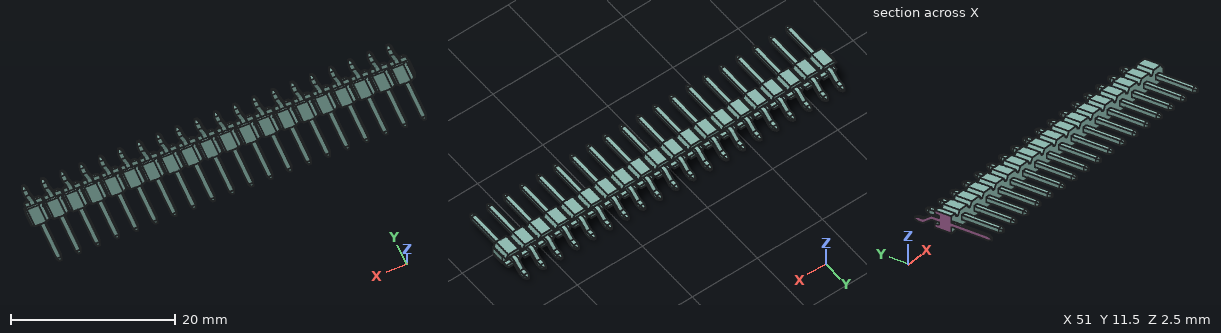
import cadquery as cq

pin_count = 20
pitch = 2.55
body_length = pin_count * pitch
body_depth = 2.5
body_height = 2.5

neck_height = 1.25
notch_width = 0.95
notch_floor_width = 0.2

channel_height = neck_height
channel_depth = 0.6

pin_size = 0.65
front_reach = 6.0
rear_reach = 3.0
tip_length = 0.5
tip_size = 0.3
bend_start = 0.45
bend_run = 1.25
bend_inner_radius = 0.3
bend_outer_radius = bend_inner_radius + pin_size

pin_length = front_reach + body_depth + rear_reach
front_tip_y = -pin_length / 2
rear_tip_y = pin_length / 2
body_front_y = front_tip_y + front_reach
body_back_y = body_front_y + body_depth

tail_z = (pin_size - body_height) / 2


def make_cell():
    """One pitch of the body, narrowed at its four long edges by the notches."""
    half_height = body_height / 2
    half_neck = neck_height / 2
    half_pitch = pitch / 2
    flat_end = (pitch - notch_width) / 2
    shoulder = (pitch - notch_floor_width) / 2
    right_side = [
        (flat_end, -half_height),
        (shoulder, -half_neck),
        (half_pitch, -half_neck),
        (half_pitch, half_neck),
        (shoulder, half_neck),
        (flat_end, half_height),
    ]
    left_side = [(-x, z) for x, z in reversed(right_side)]
    cell = (
        cq.Workplane("XZ", origin=(0, body_back_y, 0))
        .polyline(right_side + left_side)
        .close()
        .extrude(body_depth)
    )
    channel = cq.Workplane("XY").box(pitch, channel_depth, channel_height)
    return cell.cut(channel.translate((0, body_back_y - channel_depth / 2, 0)))


def make_tip(shank_end_y, tip_y, z):
    """Tapered pin end between the full section and the small end face."""
    direction = 1 if tip_y > shank_end_y else -1
    plane = cq.Plane(origin=(0, shank_end_y, z), xDir=(1, 0, 0), normal=(0, direction, 0))
    return (
        cq.Workplane(plane)
        .rect(pin_size, pin_size)
        .workplane(offset=tip_length)
        .rect(tip_size, tip_size)
        .loft(ruled=True)
    )


def round_bend(shank, y, z, radius):
    """Fillet the crosswise edge of the shank that lies at (y, z)."""
    bend_edge = cq.selectors.NearestToPointSelector((0, y, z))
    return shank.edges("|X").edges(bend_edge).fillet(radius)


def make_pin():
    """Straight shank, sloping step behind the body, and level tail."""
    front_shank_y = front_tip_y + tip_length
    rear_shank_y = rear_tip_y - tip_length
    bend_top_y = body_back_y + bend_start
    bend_bottom_y = bend_top_y + bend_run
    half_pin = pin_size / 2
    shank = (
        cq.Workplane("YZ")
        .polyline([
            (front_shank_y, half_pin),
            (bend_top_y, half_pin),
            (bend_bottom_y, tail_z + half_pin),
            (rear_shank_y, tail_z + half_pin),
            (rear_shank_y, tail_z - half_pin),
            (bend_bottom_y, tail_z - half_pin),
            (bend_top_y, -half_pin),
            (front_shank_y, -half_pin),
        ])
        .close()
        .extrude(half_pin, both=True)
    )
    shank = round_bend(shank, bend_top_y, half_pin, bend_outer_radius)
    shank = round_bend(shank, bend_top_y, -half_pin, bend_inner_radius)
    front_tip = make_tip(front_shank_y, front_tip_y, 0)
    rear_tip = make_tip(rear_shank_y, rear_tip_y, tail_z)
    return shank.union(front_tip).union(rear_tip)


station = make_cell().union(make_pin())
first_pin_x = (pitch - body_length) / 2
result = station.translate((first_pin_x, 0, 0))
for i in range(1, pin_count):
    result = result.union(station.translate((first_pin_x + i * pitch, 0, 0)))